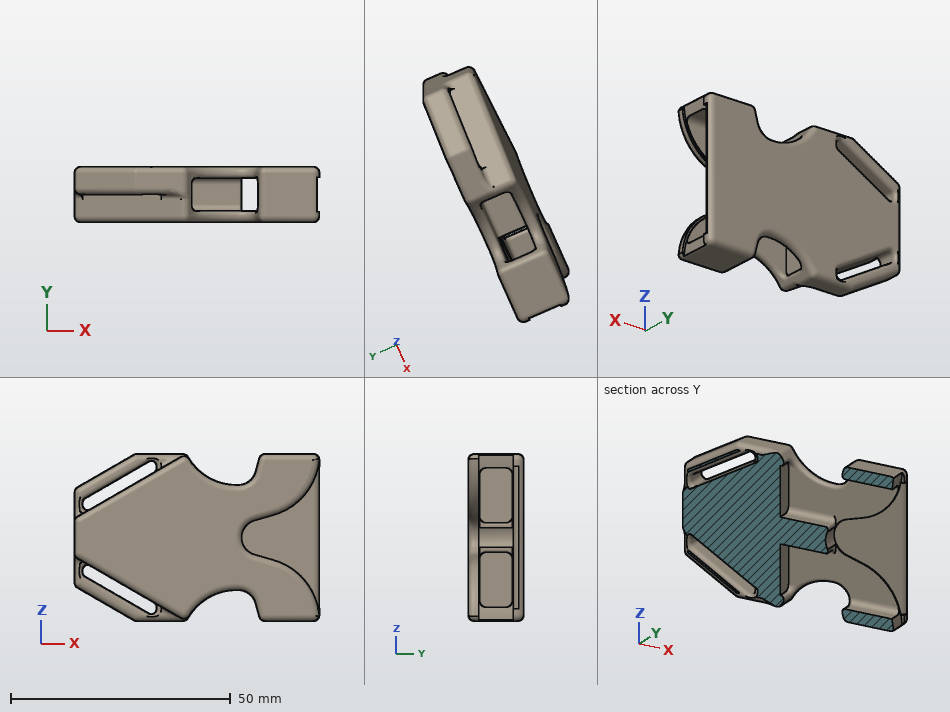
import cadquery as cq
import math

length = 55.8
thickness = 12.7
width = 38.1
half_thick = thickness / 2
half_width = width / 2
edge_radius = 1.5
clearance = 0.05

strap_slope = math.tan(math.radians(30))
loop_corner_z = 11.05
core_corner_z = 4.35
root_radius = 1.05
loop_top_x = (half_width - loop_corner_z) / strap_slope
core_top_x = (half_width - core_corner_z) / strap_slope

slot_start_x = 1.9
slot_end_x = 18.65
slot_height_z = 3.1
slot_corner_radius = 1.1
slot_edge_radius = 1.1

opening_bottom_x = 36.75
opening_bottom_z = 12.0
opening_bottom_flat = 0.55
opening_small_radius = 4.0
lean_angle = math.radians(15)

notch_tip_x = 38.05
notch_tip_radius = 4.0
notch_flare_radius = 14.5
guide_offset = 0.55
guide_half_depth = 3.9
mouth_rounding_half_height = 16.2

cavity_half_depth = 3.75
cavity_half_height = 15.85
cavity_start_x = 25.65
cavity_radius = 1.5
cavity_rim_radius = 0.95
block_half_height = 3.35
block_end_radius = 0.55


def prism(outline, y_from, y_to):
    """Extrude an outline in X and Z between two Y levels."""
    plane = cq.Plane(origin=(0, y_from, 0), xDir=(1, 0, 0), normal=(0, -1, 0))
    return outline(cq.Workplane(plane)).close().extrude(y_from - y_to)


def mirrored(upper):
    return upper.union(upper.mirror("XY"))


def core_side_z(x):
    return core_corner_z + x * strap_slope


def arc_point(center, radius, angle):
    return (center[0] + radius * math.cos(angle), center[1] + radius * math.sin(angle))


def full_outline(plane):
    return plane.polyline([
        (0, -loop_corner_z), (0, loop_corner_z),
        (loop_top_x, half_width), (length, half_width),
        (length, -half_width), (loop_top_x, -half_width),
    ])


def beside_core_outline(plane):
    """Everything above the sloping upper side of the core."""
    reach = length / 2
    return plane.polyline([
        (-reach, core_side_z(-reach)), (reach, core_side_z(reach)), (-reach, core_side_z(reach)),
    ])


def opening_outline(plane):
    """Upper thumb opening: a long arc, a tight arc and a leaning wall."""
    run = opening_bottom_x - core_top_x
    rise = half_width - opening_bottom_z
    large_radius = (run ** 2 + rise ** 2) / (2 * rise)
    large_center = (opening_bottom_x, opening_bottom_z + large_radius)
    start_angle = math.atan2(half_width - large_center[1], -run)
    large_middle = arc_point(large_center, large_radius, (start_angle - math.pi / 2) / 2)
    small_center = (opening_bottom_x + opening_bottom_flat, opening_bottom_z + opening_small_radius)
    small_middle = arc_point(small_center, opening_small_radius, -math.pi / 4)
    wall_start = arc_point(small_center, opening_small_radius, -lean_angle)
    above_z = half_width + edge_radius
    wall_end_x = wall_start[0] + (above_z - wall_start[1]) * math.tan(lean_angle)
    return (
        plane.moveTo(core_top_x, half_width)
        .threePointArc(large_middle, (opening_bottom_x, opening_bottom_z))
        .lineTo(small_center[0], opening_bottom_z)
        .threePointArc(small_middle, wall_start)
        .lineTo(wall_end_x, above_z)
        .lineTo(core_top_x, above_z)
    )


def notch_outline(plane, offset=0):
    """Mouth notch widened by an offset: round tip, leaning sides and flared ends."""
    tip_center = (notch_tip_x + notch_tip_radius, 0)
    flare_center = (length - notch_flare_radius, half_width)
    flare_radius = notch_flare_radius - offset
    side_angle = lean_angle - math.pi / 2
    tip_x, tip_z = arc_point(tip_center, notch_tip_radius + offset, math.pi + side_angle)
    side_x, side_z = arc_point(flare_center, flare_radius, side_angle)
    flare_x, flare_z = arc_point(flare_center, flare_radius, side_angle / 2)
    end_x = length - offset
    beyond_x = length + edge_radius
    beyond_z = half_width + edge_radius
    return (
        plane.moveTo(end_x, beyond_z)
        .lineTo(end_x, half_width)
        .threePointArc((flare_x, flare_z), (side_x, side_z))
        .lineTo(tip_x, tip_z)
        .threePointArc((notch_tip_x - offset, 0), (tip_x, -tip_z))
        .lineTo(side_x, -side_z)
        .threePointArc((flare_x, -flare_z), (end_x, -half_width))
        .lineTo(end_x, -beyond_z)
        .lineTo(beyond_x, -beyond_z)
        .lineTo(beyond_x, beyond_z)
    )


def slot_outline(plane):
    """Parallelogram lying along the upper side of the core."""
    start_z = core_side_z(slot_start_x)
    end_z = core_side_z(slot_end_x)
    return plane.polyline([
        (slot_start_x, start_z), (slot_end_x, end_z),
        (slot_end_x, end_z + slot_height_z), (slot_start_x, start_z + slot_height_z),
    ])


def cavity_outline(plane):
    """Upper half of the cavity, stepping down past the end of the centre block."""
    mouth_x = length + edge_radius
    return plane.polyline([
        (cavity_start_x, block_half_height), (notch_tip_x, block_half_height), (notch_tip_x, 0),
        (mouth_x, 0), (mouth_x, cavity_half_height), (cavity_start_x, cavity_half_height),
    ])


def rounded_body():
    """Outer shape with all outer edges rounded and a fillet at the foot of the core."""
    body = prism(full_outline, -half_thick, half_thick)
    body = body.cut(mirrored(prism(opening_outline, -half_thick, half_thick)))
    body = body.cut(mirrored(prism(beside_core_outline, -half_thick, 0)))
    middle_x = core_top_x / 2
    for side in (1, -1):
        root = cq.selectors.NearestToPointSelector((middle_x, 0, side * core_side_z(middle_x)))
        body = body.edges(root).fillet(root_radius)
    return body.edges().fillet(edge_radius)


def rounded_cutter(opening, y_from, y_to, rim_faces, rim_radius):
    """Widen an opening so that it leaves rounded rims on a plate between two Y levels."""
    reach = 2 * length
    plate = cq.Workplane("XY").box(2 * reach, y_to - y_from, 2 * reach)
    plate = plate.translate((0, (y_from + y_to) / 2, 0))
    far_x = length + width
    near_part = cq.selectors.BoxSelector((-length, -thickness, -length), (far_x, thickness, length))
    rounded_plate = plate.cut(opening).faces(rim_faces).edges(near_part).fillet(rim_radius)
    return plate.cut(rounded_plate)


def slot_cutter():
    """Upper strap slot with rounded rims; in front it stops at the side of the core."""
    slot = prism(slot_outline, 0, half_thick).edges("|Y").fillet(slot_corner_radius)
    rimmed_slot = rounded_cutter(slot, 0, half_thick, "<Y or >Y", slot_edge_radius)
    rim_outline = slot.faces("<Y").wires().toPending().offset2D(slot_edge_radius)
    root_relief = rim_outline.extrude(root_radius)
    beside_core = prism(beside_core_outline, -root_radius, half_thick / 2)
    back_half = prism(full_outline, half_thick / 2, half_thick)
    return rimmed_slot.union(root_relief).intersect(beside_core.union(back_half))


def cavity_cutter():
    """Upper half of the cavity, open at the mouth and above the centre block."""
    cavity = prism(cavity_outline, -cavity_half_depth, cavity_half_depth)
    block_middle_x = (cavity_start_x + notch_tip_x) / 2
    for side in (1, -1):
        floor_side = cq.selectors.NearestToPointSelector(
            (block_middle_x, side * cavity_half_depth, block_half_height)
        )
        cavity = cavity.edges("|X").edges(floor_side).fillet(cavity_radius)
    cavity = cavity.faces(">Z").edges("|X").fillet(cavity_radius)
    block_end = cq.selectors.NearestToPointSelector((notch_tip_x, 0, block_half_height))
    return cavity.edges("|Y").edges(block_end).fillet(block_end_radius)


def round_side_rims(body):
    """Round the rims where the cavity breaks through the two thumb openings."""
    depth = cavity_half_depth + clearance
    inner_z = opening_bottom_z - clearance
    start_x = cavity_start_x + clearance
    end_x = opening_bottom_x + opening_bottom_flat + opening_small_radius + edge_radius
    for low_z, high_z in ((inner_z, half_width), (-half_width, -inner_z)):
        rim = cq.selectors.BoxSelector((start_x, -depth, low_z), (end_x, depth, high_z), boundingbox=True)
        body = body.edges(rim).fillet(cavity_rim_radius)
    return body


def guide_cutter():
    """Recess of the notch shape, slightly wider than the notch and deeper than the cavity."""
    return prism(lambda plane: notch_outline(plane, guide_offset), -guide_half_depth, guide_half_depth)


def notch_cutter():
    """Notch through the front plate into the cavity, with a rounded front rim."""
    notch = prism(notch_outline, -half_thick, 0)
    return rounded_cutter(notch, -half_thick, 0, "<Y", edge_radius)


def mouth_rounding_cutter():
    """Material removed to round the inner edge of the back plate at the mouth."""
    corner = cq.Workplane("XY").box(2 * edge_radius, edge_radius, 2 * mouth_rounding_half_height)
    corner = corner.translate((length, guide_half_depth + edge_radius / 2, 0))
    rod = cq.Workplane("XY").circle(edge_radius).extrude(mouth_rounding_half_height, both=True)
    return corner.cut(rod.translate((length - edge_radius, guide_half_depth + edge_radius, 0)))


hollow_body = rounded_body().cut(mirrored(slot_cutter())).cut(mirrored(cavity_cutter()))
result = (
    round_side_rims(hollow_body)
    .cut(guide_cutter())
    .cut(notch_cutter())
    .cut(mouth_rounding_cutter())
)